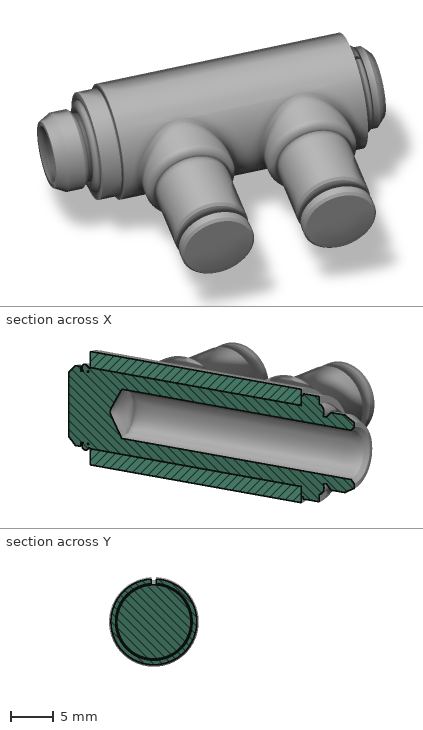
import cadquery as cq
import math


HOUSING_LENGTH = 30.0
HOUSING_RADIUS = 7.0
STEM_RADIUS = 4.95

BRANCH_PITCH = 15.0
BRANCH_POSITIONS = [HOUSING_LENGTH / 2 - BRANCH_PITCH / 2, HOUSING_LENGTH / 2 + BRANCH_PITCH / 2]
COLLAR_RADIUS = 5.5
COLLAR_END = 9.7
COLLAR_ROUND = 1.0
COLLAR_ROOT_FILLET = 0.5
SADDLE_ZONE_MARGIN = 1.0
CARTRIDGE_RADIUS = 4.55
CARTRIDGE_END = 18.0
CARTRIDGE_CHAMFER = 0.3
CARTRIDGE_FACE_END = 18.2
RELEASE_NECK_RADIUS = 2.6
RELEASE_FLANGE_RADIUS = 4.5
RELEASE_FLANGE_START = 19.35
RELEASE_FLANGE_CHAMFER = 0.3
BRANCH_END = 20.6

SHOULDER_RADIUS = 6.25
SHOULDER_GAP = 0.2
FLANGE_RADIUS = 6.5
FLANGE_BOTTOM = -2.55
SEAL_WIRE_RADIUS = 1.0
SEAL_CENTRE_RADIUS = 4.65
SEAL_BOTTOM = -3.2
UNDERCUT_RADIUS = 4.15
UNDERCUT_BOTTOM = -3.5
THREAD_RADIUS = 4.8
THREAD_BOTTOM = -6.1
STEM_BOTTOM = -7.5
STEM_TIP_RADIUS = 4.05

STEM_TOP = 33.1
STEM_TOP_CHAMFER = 1.0

RING_WIRE_RADIUS = 0.5
RING_CENTRE_RADIUS = 4.8
GROOVE_BOTTOM = 30.22
GROOVE_TOP = 31.32
GROOVE_RADIUS = 4.4
RING_SEATING = 0.02
RING_CENTRE = GROOVE_BOTTOM + RING_WIRE_RADIUS - RING_SEATING
RING_SPLIT = 0.5

BORE_RADIUS = 3.0
BORE_CHAMFER = 0.5
BORE_TOP = BRANCH_POSITIONS[1] + BORE_RADIUS
DRILL_POINT_ANGLE = 118.0
DRILL_POINT_LENGTH = BORE_RADIUS / math.tan(math.radians(DRILL_POINT_ANGLE / 2))


def disc_y(radius, start, end):
    """Cylinder about the Y axis between two Y positions."""
    return cq.Workplane("XZ", origin=(0, start, 0)).circle(radius).extrude(start - end)


def collar(y):
    """Rounded collar from the barrel axis outward."""
    cylinder = cq.Workplane("YZ", origin=(0, y, 0)).circle(COLLAR_RADIUS).extrude(COLLAR_END)
    return cylinder.faces(">X").edges().fillet(COLLAR_ROUND)


def cartridge(y):
    """Push-in cartridge with a shallow conical end face, turned together with its release collar."""
    profile = (
        cq.Workplane("XY", origin=(0, y, 0))
        .moveTo(HOUSING_RADIUS, 0)
        .lineTo(HOUSING_RADIUS, CARTRIDGE_RADIUS)
        .lineTo(CARTRIDGE_END - CARTRIDGE_CHAMFER, CARTRIDGE_RADIUS)
        .lineTo(CARTRIDGE_END, CARTRIDGE_RADIUS - CARTRIDGE_CHAMFER)
        .lineTo(CARTRIDGE_FACE_END, RELEASE_NECK_RADIUS)
        .lineTo(RELEASE_FLANGE_START, RELEASE_NECK_RADIUS)
        .lineTo(RELEASE_FLANGE_START, RELEASE_FLANGE_RADIUS)
        .lineTo(BRANCH_END - RELEASE_FLANGE_CHAMFER, RELEASE_FLANGE_RADIUS)
        .lineTo(BRANCH_END, RELEASE_FLANGE_RADIUS - RELEASE_FLANGE_CHAMFER)
        .lineTo(BRANCH_END, 0)
        .close()
    )
    return profile.revolve(360, (0, 0, 0), (1, 0, 0))


def make_housing():
    """Barrel with two branches and a through bore for the stem."""
    body = disc_y(HOUSING_RADIUS, 0, HOUSING_LENGTH)
    for y in BRANCH_POSITIONS:
        body = body.union(collar(y))
    saddle_zone = cq.selectors.BoxSelector(
        (SADDLE_ZONE_MARGIN, SADDLE_ZONE_MARGIN, -HOUSING_RADIUS),
        (
            HOUSING_RADIUS + SADDLE_ZONE_MARGIN,
            HOUSING_LENGTH - SADDLE_ZONE_MARGIN,
            HOUSING_RADIUS,
        ),
        boundingbox=True,
    )
    body = body.edges(saddle_zone).fillet(COLLAR_ROOT_FILLET)
    for y in BRANCH_POSITIONS:
        body = body.union(cartridge(y))
    return body.cut(disc_y(STEM_RADIUS, 0, HOUSING_LENGTH))


def stem_blank():
    """Turned stem with flange, rounded seal, undercut, thread and retaining groove."""
    seal_centre = SEAL_BOTTOM + SEAL_WIRE_RADIUS
    seal_outer_radius = SEAL_CENTRE_RADIUS + math.sqrt(
        SEAL_WIRE_RADIUS**2 - (seal_centre - FLANGE_BOTTOM) ** 2
    )
    seal_inner_end = seal_centre - math.sqrt(
        SEAL_WIRE_RADIUS**2 - (SEAL_CENTRE_RADIUS - UNDERCUT_RADIUS) ** 2
    )
    profile = (
        cq.Workplane("XY")
        .moveTo(0, STEM_BOTTOM)
        .lineTo(STEM_TIP_RADIUS, STEM_BOTTOM)
        .lineTo(THREAD_RADIUS, THREAD_BOTTOM)
        .lineTo(THREAD_RADIUS, UNDERCUT_BOTTOM - (THREAD_RADIUS - UNDERCUT_RADIUS))
        .lineTo(UNDERCUT_RADIUS, UNDERCUT_BOTTOM)
        .lineTo(UNDERCUT_RADIUS, seal_inner_end)
        .threePointArc((SEAL_CENTRE_RADIUS, SEAL_BOTTOM), (seal_outer_radius, FLANGE_BOTTOM))
        .lineTo(FLANGE_RADIUS, FLANGE_BOTTOM)
        .lineTo(FLANGE_RADIUS, -SHOULDER_GAP)
        .lineTo(SHOULDER_RADIUS, -SHOULDER_GAP)
        .lineTo(SHOULDER_RADIUS, 0)
        .lineTo(STEM_RADIUS, 0)
        .lineTo(STEM_RADIUS, GROOVE_BOTTOM)
        .lineTo(GROOVE_RADIUS, GROOVE_BOTTOM)
        .lineTo(GROOVE_RADIUS, GROOVE_TOP)
        .lineTo(STEM_RADIUS, GROOVE_TOP)
        .lineTo(STEM_RADIUS, STEM_TOP - STEM_TOP_CHAMFER)
        .lineTo(STEM_RADIUS - STEM_TOP_CHAMFER, STEM_TOP)
        .lineTo(0, STEM_TOP)
        .close()
    )
    return profile.revolve(360, (0, 0, 0), (0, 1, 0))


def stem_bore():
    """Blind drilled bore with a chamfered mouth and a conical end."""
    profile = (
        cq.Workplane("XY")
        .moveTo(0, STEM_BOTTOM)
        .lineTo(BORE_RADIUS + BORE_CHAMFER, STEM_BOTTOM)
        .lineTo(BORE_RADIUS, STEM_BOTTOM + BORE_CHAMFER)
        .lineTo(BORE_RADIUS, BORE_TOP)
        .lineTo(0, BORE_TOP + DRILL_POINT_LENGTH)
        .close()
    )
    return profile.revolve(360, (0, 0, 0), (0, 1, 0))


def retaining_ring():
    """Round-wire ring, split on its +Z side."""
    wire = cq.Workplane("XY").center(RING_CENTRE_RADIUS, RING_CENTRE).circle(RING_WIRE_RADIUS)
    ring = wire.revolve(360, (-RING_CENTRE_RADIUS, 0, 0), (-RING_CENTRE_RADIUS, 1, 0))
    wire_clearance = 4 * RING_WIRE_RADIUS
    split = (
        cq.Workplane("XY", origin=(0, RING_CENTRE, RING_CENTRE_RADIUS))
        .box(RING_SPLIT, wire_clearance, wire_clearance)
    )
    return ring.cut(split)


def make_stem():
    """Hollow stem with the retaining ring seated in its groove."""
    return stem_blank().cut(stem_bore()).union(retaining_ring())


housing = make_housing()
stem = make_stem()

result = cq.Compound.makeCompound([housing.solids().val(), stem.solids().val()])